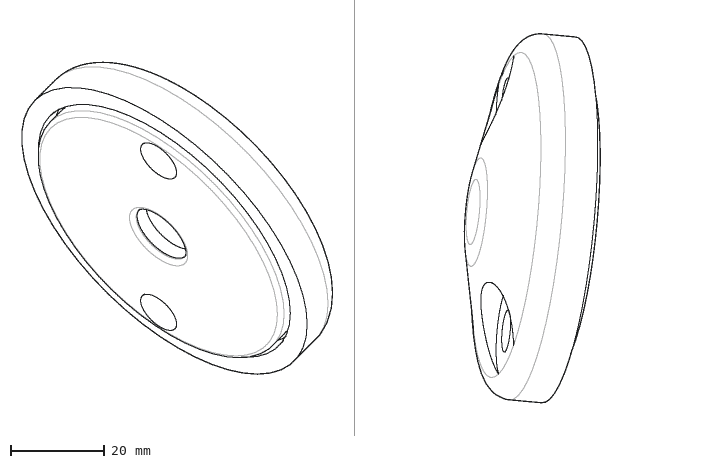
import cadquery as cq
import math

cover_radius = 39.5
rim_y = 2.0
rim_height = 7.1
shoulder_radius = 4.4
total_depth = 20.8
cone_angle = math.radians(15)
crown_flat_radius = 7.0
crown_blend_radius = 18.0
recess_radius = 34.8

plate_radius = 33.9
plate_thickness = 7.0
edge_round = 1.0
center_bore_radius = 7.0

cup_radius = center_bore_radius + edge_round
cup_y = 1.35
cup_floor_y = 4.4

hole_offset = 27.5
plate_hole_radius = 5.0
cover_hole_radius = 4.5
counterbore_radius = 10.1
shoulder_y = rim_y + rim_height
counterbore_y = shoulder_y + shoulder_radius


def cylinder(radius, start_y, end_y, z=0.0):
    """Solid cylinder along Y between two Y positions."""
    base = cq.Workplane("XZ", origin=(0, start_y, z))
    return base.circle(radius).extrude(start_y - end_y)


def make_cover():
    shoulder_center_x = cover_radius - shoulder_radius
    blend_radius = crown_flat_radius + crown_blend_radius * math.sin(cone_angle)
    blend_y = total_depth - crown_blend_radius * (1 - math.cos(cone_angle))
    half_angle = cone_angle / 2
    blend_mid = (
        crown_flat_radius + crown_blend_radius * math.sin(half_angle),
        total_depth - crown_blend_radius * (1 - math.cos(half_angle)),
    )
    shoulder_mid = (
        shoulder_center_x + shoulder_radius * math.cos(math.pi / 4),
        shoulder_y + shoulder_radius * math.sin(math.pi / 4),
    )
    body = (
        cq.Workplane("XY")
        .moveTo(0, rim_y)
        .lineTo(cover_radius, rim_y)
        .lineTo(cover_radius, shoulder_y)
        .threePointArc(shoulder_mid, (shoulder_center_x, counterbore_y))
        .lineTo(blend_radius, blend_y)
        .threePointArc(blend_mid, (crown_flat_radius, total_depth))
        .lineTo(0, total_depth)
        .close()
        .revolve(360, (0, 0, 0), (0, 1, 0))
    )
    body = body.cut(cylinder(recess_radius, rim_y, plate_thickness))
    for z in (-hole_offset, hole_offset):
        body = body.cut(cylinder(cover_hole_radius, 0, total_depth, z))
        body = body.cut(cylinder(counterbore_radius, counterbore_y, total_depth, z))
    return body


def make_plate():
    body = cylinder(plate_radius, 0, plate_thickness)
    body = body.cut(cylinder(center_bore_radius, 0, plate_thickness))
    body = body.faces("<Y").edges().fillet(edge_round)
    body = body.cut(cylinder(cup_radius, cup_y, plate_thickness))
    for z in (-hole_offset, hole_offset):
        body = body.cut(cylinder(plate_hole_radius, 0, plate_thickness, z))
    return body


def make_cup():
    blank = cylinder(cup_radius, cup_y, plate_thickness)
    return blank.cut(cylinder(center_bore_radius, cup_y, cup_floor_y))


cover = make_cover()
plate = make_plate()
cup = make_cup()

result = cq.Compound.makeCompound([cover.val(), plate.val(), cup.val()])